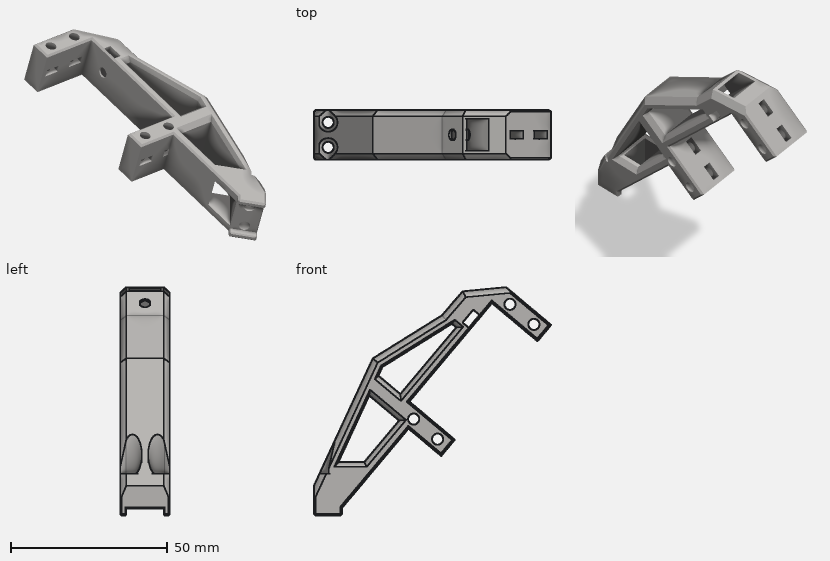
import cadquery as cq
import math

WIDTH = 16.0
HALF = WIDTH / 2
FINE_CHAMFER = 0.6
BROAD_CHAMFER = 2.0
SCREW_DIA = 3.5

TILT = math.radians(50)
ALONG_DIR = (math.cos(TILT), math.sin(TILT))
OUT_DIR = (math.sin(TILT), -math.cos(TILT))
FRAME_X, FRAME_Z = 31.96, 30.92

ARM_WIDTH = 6.8
HALF_ARM = ARM_WIDTH / 2
ARM_SPACING = 47.95
ARM_END = 14.35
ARM_HOLES = (0.0, 10.0)
ARM_CENTRES = (0.0, ARM_SPACING)
NUT_LENGTH = 5.3
NUT_THICKNESS = 2.6
UPPER_LINE = -4.65
LOWER_LINE = 0.7

FOOT_LENGTH = 9.05
FOOT_HEEL = 2.5
FOOT_TOE = 9.6
RECESS_WIDTH = 12.0
RECESS_HEIGHT = 2.25
RECESS_CHAMFER = 0.4
FOOT_SCREW_X = 4.58
FOOT_SCREW_Y = 4.0
SEAT_Z = 13.45
SEAT_RADIUS = 3.0
SEAT_TOP = 30.0

KNEE = (18.85, 50.35)
NECK = (41.0, 64.15)
CROWN = (47.65, 71.85)
PEAK_Z = 73.17

WALL = 4.0
UPPER_WALL = 3.8
WINDOW_FLOOR = 17.2
WINDOW_END = 31.2
WINDOW_CHAMFER = 1.6
SPINE_SIDE_CHAMFER = 0.6

PASSAGE_WIDTH = 10.2

BORE_ALONG = 36.4
SLOT_CENTRE = -6.57
POCKET_FRONT = -13.4
POCKET_REACH = 20.0
BORE_START = -20.0


def tilted(along, out):
    """Tilted frame position as (X, Z)."""
    x = FRAME_X + along * ALONG_DIR[0] + out * OUT_DIR[0]
    z = FRAME_Z + along * ALONG_DIR[1] + out * OUT_DIR[1]
    return (x, z)


def direction(a, b):
    length = math.hypot(b[0] - a[0], b[1] - a[1])
    return ((b[0] - a[0]) / length, (b[1] - a[1]) / length)


def crossing(p, d, q, e):
    """Point where the line through p along d meets the line through q along e."""
    t = ((q[0] - p[0]) * e[1] - (q[1] - p[1]) * e[0]) / (d[0] * e[1] - d[1] * e[0])
    return (p[0] + t * d[0], p[1] + t * d[1])


def inset(points, distances):
    """Move each side of a clockwise polygon inward; side i runs from point i to point i + 1."""
    lines = []
    for i, start in enumerate(points):
        d = direction(start, points[(i + 1) % len(points)])
        moved = (start[0] + d[1] * distances[i], start[1] - d[0] * distances[i])
        lines.append((moved, d))
    return [crossing(*lines[i - 1], *lines[i]) for i in range(len(lines))]


def prism(points, y_from, y_to):
    plane = cq.Workplane("XZ", origin=(0, y_from, 0))
    return plane.polyline(points).close().extrude(y_from - y_to)


def skin(plane, points_a, points_b, distance):
    """Flat-sided solid joining two matching polygons."""
    first = cq.Workplane(plane).polyline(points_a).close()
    return first.workplane(offset=distance).polyline(points_b).close().loft(ruled=True)


def both_sides(solid):
    return solid.union(solid.mirror("XZ"))


def tilted_box(along, out, width):
    """Box centred on Y = 0 that spans the given ranges of the tilted frame."""
    corners = [tilted(a, o) for a, o in (
        (along[0], out[0]), (along[1], out[0]), (along[1], out[1]), (along[0], out[1]))]
    return prism(corners, -width / 2, width / 2)


def side_plane(y):
    return cq.Plane(origin=(0, y, 0), xDir=(1, 0, 0), normal=(0, -1, 0))


def make_body():
    arm_top = tilted(ARM_SPACING + HALF_ARM, 0)
    peak = crossing(arm_top, OUT_DIR, (0, PEAK_Z), (1, 0))
    heel = crossing(tilted(0, LOWER_LINE), ALONG_DIR, (FOOT_LENGTH, 0), (0, 1))
    sides = [
        ((0, 0), FINE_CHAMFER),
        ((0, FOOT_TOE), BROAD_CHAMFER),
        (KNEE, BROAD_CHAMFER),
        (NECK, BROAD_CHAMFER),
        (CROWN, BROAD_CHAMFER),
        (peak, FINE_CHAMFER),
        (tilted(ARM_SPACING + HALF_ARM, ARM_END), FINE_CHAMFER),
        (tilted(ARM_SPACING - HALF_ARM, ARM_END), FINE_CHAMFER),
        (tilted(ARM_SPACING - HALF_ARM, UPPER_LINE), FINE_CHAMFER),
        (tilted(HALF_ARM, UPPER_LINE), FINE_CHAMFER),
        (tilted(HALF_ARM, ARM_END), FINE_CHAMFER),
        (tilted(-HALF_ARM, ARM_END), FINE_CHAMFER),
        (tilted(-HALF_ARM, LOWER_LINE), FINE_CHAMFER),
        (heel, FINE_CHAMFER),
        ((FOOT_LENGTH, 0), FINE_CHAMFER),
    ]
    outline = [point for point, _ in sides]
    chamfers = [chamfer for _, chamfer in sides]
    face = inset(outline, chamfers)
    shoulder = inset(outline, [chamfer - FINE_CHAMFER for chamfer in chamfers])
    core_half = HALF - BROAD_CHAMFER
    broad_layer = skin(side_plane(-core_half), outline, shoulder, BROAD_CHAMFER - FINE_CHAMFER)
    fine_layer = skin(side_plane(FINE_CHAMFER - HALF), shoulder, face, FINE_CHAMFER)
    core = prism(outline, -core_half, core_half)
    return core.union(both_sides(broad_layer)).union(both_sides(fine_layer))


def window(outline, chamfers):
    """Through opening that flares out towards both side faces."""
    mouth = inset(outline, [-chamfer for chamfer in chamfers])
    flare = skin(side_plane(WINDOW_CHAMFER - HALF), outline, mouth, WINDOW_CHAMFER)
    return prism(outline, -HALF, HALF).union(both_sides(flare))


def make_windows():
    shin_dir = direction((0, FOOT_TOE), KNEE)
    thigh_dir = direction(KNEE, NECK)
    shin = (KNEE[0] + WALL * shin_dir[1], KNEE[1] - WALL * shin_dir[0])
    thigh = (KNEE[0] + WALL * thigh_dir[1], KNEE[1] - WALL * thigh_dir[0])
    lower_wall = tilted(0, LOWER_LINE - WALL)
    upper_wall = tilted(0, UPPER_LINE - UPPER_WALL)
    floor = (0, WINDOW_FLOOR)
    rib_bottom = tilted(-HALF_ARM, 0)
    rib_top = tilted(HALF_ARM, 0)
    head = tilted(WINDOW_END, 0)

    lower = window(
        [
            crossing(floor, (1, 0), shin, shin_dir),
            crossing(shin, shin_dir, rib_bottom, OUT_DIR),
            crossing(rib_bottom, OUT_DIR, lower_wall, ALONG_DIR),
            crossing(lower_wall, ALONG_DIR, floor, (1, 0)),
        ],
        [SPINE_SIDE_CHAMFER, WINDOW_CHAMFER, WINDOW_CHAMFER, WINDOW_CHAMFER],
    )
    upper = window(
        [
            crossing(rib_top, OUT_DIR, shin, shin_dir),
            crossing(shin, shin_dir, thigh, thigh_dir),
            crossing(thigh, thigh_dir, head, OUT_DIR),
            crossing(head, OUT_DIR, upper_wall, ALONG_DIR),
            crossing(upper_wall, ALONG_DIR, rib_top, OUT_DIR),
        ],
        [SPINE_SIDE_CHAMFER, SPINE_SIDE_CHAMFER, WINDOW_CHAMFER, WINDOW_CHAMFER, WINDOW_CHAMFER],
    )
    return lower.union(upper)


def make_arm_cuts():
    """Cross holes in the arms, each with a nut slot through the arm's thickness."""
    cuts = cq.Workplane("XZ")
    for centre in ARM_CENTRES:
        for hole in ARM_HOLES:
            bore = cq.Workplane("XZ").pushPoints([tilted(centre, hole)]).circle(SCREW_DIA / 2)
            cuts = cuts.add(bore.extrude(HALF, both=True))
            along = (centre - HALF_ARM, centre + HALF_ARM)
            out = (hole - NUT_LENGTH / 2, hole + NUT_LENGTH / 2)
            cuts = cuts.add(tilted_box(along, out, NUT_THICKNESS))
    return cuts.combine()


def make_head_cuts():
    slot_along = (BORE_ALONG - NUT_LENGTH / 2, BORE_ALONG + NUT_LENGTH / 2)
    slot_out = (SLOT_CENTRE - NUT_THICKNESS / 2, SLOT_CENTRE + NUT_THICKNESS / 2)
    slot = tilted_box(slot_along, slot_out, WIDTH)
    pocket_along = (WINDOW_END, BORE_ALONG + POCKET_REACH)
    pocket = tilted_box(pocket_along, (POCKET_FRONT, UPPER_LINE - UPPER_WALL), PASSAGE_WIDTH)
    x, z = tilted(BORE_ALONG, BORE_START)
    axis = cq.Vector(OUT_DIR[0], 0, OUT_DIR[1])
    bore = cq.Solid.makeCylinder(SCREW_DIA / 2, UPPER_LINE - BORE_START, cq.Vector(x, 0, z), axis)
    return slot.union(pocket).union(cq.Workplane(bore))


def make_foot_screws():
    """Screw holes with seats that open to the spine and taper to the side faces."""
    tangent = SEAT_RADIUS / math.sqrt(2)
    hole = cq.Workplane("XY").circle(SCREW_DIA / 2).extrude(SEAT_Z)
    seat = cq.Workplane("XY", origin=(0, 0, SEAT_Z)).circle(SEAT_RADIUS).extrude(SEAT_TOP - SEAT_Z)
    point = (
        cq.Workplane("XY", origin=(0, 0, SEAT_Z))
        .polyline([
            (0, 0),
            (tangent, -tangent),
            (0, -2 * tangent),
            (-SEAT_RADIUS, -2 * tangent),
            (-SEAT_RADIUS, 0),
        ])
        .close()
        .extrude(SEAT_TOP - SEAT_Z)
    )
    screw = hole.union(seat).union(point).translate((FOOT_SCREW_X, -FOOT_SCREW_Y, 0))
    return both_sides(screw)


def make_floor_passage():
    """Opening from the lower window floor down through the mounting line."""
    floor_end, _ = crossing(tilted(0, LOWER_LINE - WALL), ALONG_DIR, (0, WINDOW_FLOOR), (1, 0))
    corners = [
        (FOOT_LENGTH, 0),
        (FOOT_LENGTH, WINDOW_FLOOR),
        (floor_end, WINDOW_FLOOR),
        (floor_end, 0),
    ]
    return prism(corners, -PASSAGE_WIDTH / 2, PASSAGE_WIDTH / 2)


def make_foot_recess():
    """Channel under the foot with broken edges all round."""
    side = RECESS_WIDTH / 2
    channel = [(-side, -side), (-side, RECESS_HEIGHT), (side, RECESS_HEIGHT), (side, -side)]
    mouth = inset(channel, [-RECESS_CHAMFER] * len(channel))
    flare = skin("YZ", mouth, channel, RECESS_CHAMFER)
    far_flare = flare.mirror("YZ").translate((FOOT_LENGTH, 0, 0))
    lip = side + RECESS_CHAMFER
    bevel = [(-lip, 0), (-side, RECESS_CHAMFER), (side, RECESS_CHAMFER), (lip, 0)]
    recess = cq.Workplane("YZ").polyline(channel).close().extrude(FOOT_LENGTH)
    floor_bevel = cq.Workplane("YZ").polyline(bevel).close().extrude(FOOT_LENGTH)
    return recess.union(flare).union(far_flare).union(floor_bevel)


def make_foot_corners():
    """Wedges that break the front and rear bottom edges of the foot."""
    cuts = cq.Workplane("XZ")
    for x, inward in ((0, FINE_CHAMFER), (FOOT_LENGTH, -FINE_CHAMFER)):
        cuts = cuts.add(prism([(x, 0), (x, FINE_CHAMFER), (x + inward, 0)], -HALF, HALF))
    return cuts.combine()


result = (
    make_body()
    .cut(make_windows())
    .cut(make_arm_cuts())
    .cut(make_head_cuts())
    .cut(make_floor_passage())
    .cut(make_foot_screws())
    .cut(make_foot_recess())
    .cut(make_foot_corners())
)